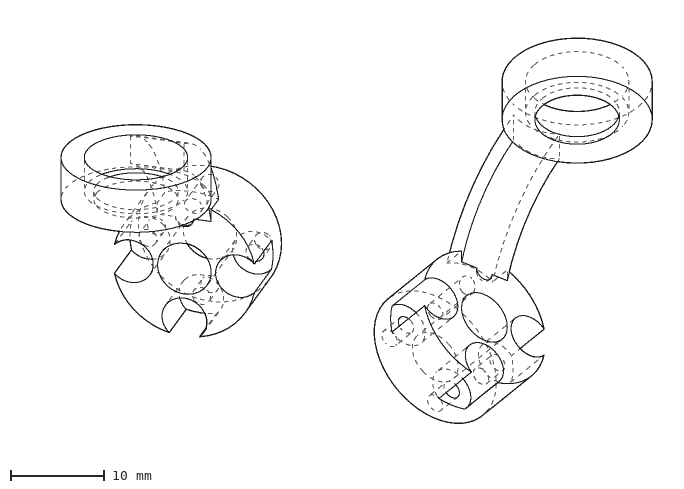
import cadquery as cq
import math

overall_length = 34.0
body_diameter = 16.0
body_radius = body_diameter / 2

base_length = 9.0
center_hole_diameter = 6.0
screw_circle_radius = 6.0
screw_hole_diameter = 2.0
counterbore_diameter = 5.0
counterbore_depth = 6.0

ring_height = 5.0
ring_top_z = 21.0
ring_bottom_z = ring_top_z - ring_height
ring_center_y = base_length + body_radius - overall_length
ring_bore_diameter = 9.0
ring_seat_diameter = 11.0
ring_lip_height = 1.0

arm_width = 6.0
arm_thickness = 3.0
arm_outer_radius = ring_top_z
arm_inner_radius = arm_outer_radius - arm_thickness
arm_start_z = 4.08
arm_start_angle = math.asin(arm_start_z / arm_inner_radius)
arm_end_angle = math.radians(72)


def cylinder_along_y(diameter, length, x=0, z=0):
    """Cylinder running from the base front face toward its back face."""
    return cq.Workplane("XZ").center(x, z).circle(diameter / 2).extrude(-length)


def make_base():
    base = cylinder_along_y(body_diameter, base_length)
    base = base.cut(cylinder_along_y(center_hole_diameter, base_length))
    for angle in (0, 90, 180, 270):
        x = screw_circle_radius * math.cos(math.radians(angle))
        z = screw_circle_radius * math.sin(math.radians(angle))
        base = base.cut(cylinder_along_y(screw_hole_diameter, base_length, x, z))
        if angle != 90:
            base = base.cut(cylinder_along_y(counterbore_diameter, counterbore_depth, x, z))
    return base


def make_ring():
    ring = (
        cq.Workplane("XY", origin=(0, ring_center_y, ring_bottom_z))
        .circle(body_radius)
        .circle(ring_bore_diameter / 2)
        .extrude(ring_height)
    )
    seat = (
        cq.Workplane("XY", origin=(0, ring_center_y, ring_bottom_z + ring_lip_height))
        .circle(ring_seat_diameter / 2)
        .extrude(ring_height - ring_lip_height)
    )
    return ring.cut(seat)


def arm_point(radius, angle):
    """Point in the YZ plane on an arc about the arm center."""
    return (ring_center_y + radius * math.cos(angle), radius * math.sin(angle))


def make_arm():
    middle_angle = (arm_start_angle + arm_end_angle) / 2
    return (
        cq.Workplane("YZ")
        .moveTo(*arm_point(arm_outer_radius, arm_start_angle))
        .threePointArc(
            arm_point(arm_outer_radius, middle_angle),
            arm_point(arm_outer_radius, arm_end_angle),
        )
        .lineTo(*arm_point(arm_inner_radius, arm_end_angle))
        .threePointArc(
            arm_point(arm_inner_radius, middle_angle),
            arm_point(arm_inner_radius, arm_start_angle),
        )
        .close()
        .extrude(arm_width / 2, both=True)
    )


result = make_base().union(make_ring()).union(make_arm())